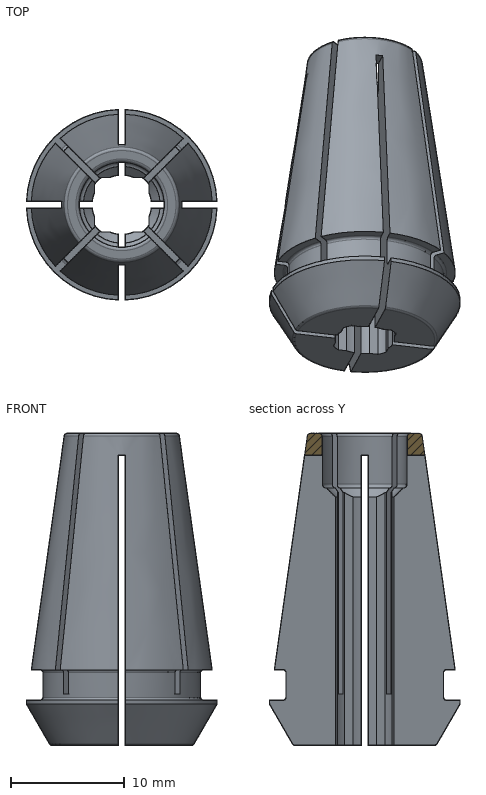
import cadquery as cq
import math

length = 27.5
taper_half_angle = math.radians(8)
taper_base_radius = 7.98
taper_base_z = 6.65
rim_radius = taper_base_radius - (length - taper_base_z) * math.tan(taper_half_angle)
rim_round = 0.3

neck_radius = 6.95
neck_round = 0.25
flange_diameter = 16.8
flange_radius = flange_diameter / 2
flange_top_z = 4.0
flange_band = 0.35
nut_half_angle = math.radians(30)
flange_band_z = flange_top_z - flange_band
foot_radius = flange_radius - flange_band_z * math.tan(nut_half_angle)
foot_round = 0.25

bore_radius = 3.75
bore_depth = 4.85
bore_floor_round = 0.35
funnel_radius = bore_radius - bore_floor_round
drive_side = 4.78
drive_corner_radius = 3.0
drive_relief_radius = 2.6

slit_width = 0.6
lower_slit_top_z = 25.55
upper_slit_floor_z = 4.5
slit_span = 3 * flange_radius


def make_body():
    """Solid of revolution: taper, neck and flange, with rounded rims."""
    body = (
        cq.Workplane("XZ")
        .moveTo(0, 0)
        .lineTo(foot_radius, 0)
        .lineTo(flange_radius, flange_band_z)
        .lineTo(flange_radius, flange_top_z)
        .lineTo(neck_radius + neck_round, flange_top_z)
        .radiusArc((neck_radius, flange_top_z + neck_round), neck_round)
        .lineTo(neck_radius, taper_base_z - neck_round)
        .radiusArc((neck_radius + neck_round, taper_base_z), neck_round)
        .lineTo(taper_base_radius, taper_base_z)
        .lineTo(rim_radius, length)
        .lineTo(0, length)
        .close()
        .revolve(360, (0, 0), (0, 1))
    )
    body = body.faces(">Z").edges().fillet(rim_round)
    return body.faces("<Z").edges().fillet(foot_round)


def make_bore():
    """Bore with a rounded mouth and floor corner, ending in a 45 degree funnel."""
    floor_z = length - bore_depth
    return (
        cq.Workplane("XZ")
        .moveTo(0, length)
        .lineTo(bore_radius + rim_round, length)
        .radiusArc((bore_radius, length - rim_round), -rim_round)
        .lineTo(bore_radius, floor_z + bore_floor_round)
        .radiusArc((funnel_radius, floor_z), bore_floor_round)
        .lineTo(0, floor_z - funnel_radius)
        .close()
        .revolve(360, (0, 0), (0, 1))
    )


def make_drive_hole():
    """Square through hole with round corners, relieved by a drilled hole."""
    depth = length - bore_depth
    corners = cq.Workplane("XY").circle(drive_corner_radius).extrude(depth)
    square = cq.Workplane("XY").rect(drive_side, drive_side).extrude(depth)
    relief = cq.Workplane("XY").circle(drive_relief_radius).extrude(depth)
    return square.intersect(corners).union(relief)


def make_slit(angle, bottom_z, top_z):
    """Thin slab crossing the axis at the given angle."""
    return (
        cq.Workplane("XY")
        .box(slit_span, slit_width, top_z - bottom_z, centered=(True, True, False))
        .translate((0, 0, bottom_z))
        .rotate((0, 0, 0), (0, 0, 1), angle)
    )


result = make_body().cut(make_bore()).cut(make_drive_hole())
for angle in (0, 90):
    result = result.cut(make_slit(angle, 0, lower_slit_top_z))
    result = result.cut(make_slit(angle + 45, upper_slit_floor_z, length))